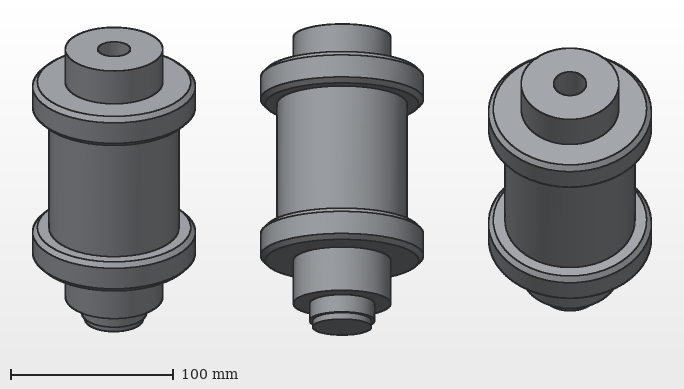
import cadquery as cq

flange_diameter = 100.0
body_diameter = 80.0
shaft_diameter = 60.0
spigot_diameter = 40.0
tip_diameter = 36.0
bore_diameter = 20.0

total_length = 185
tip_length = 4.0
spigot_length = 11.0
lower_shaft_length = 27.5
flange_thickness = 20.0
body_length = 80.0
flange_chamfer = 3.0

spigot_base = tip_length
lower_shaft_base = spigot_base + spigot_length
lower_flange_base = lower_shaft_base + lower_shaft_length
body_base = lower_flange_base + flange_thickness
upper_flange_base = body_base + body_length
upper_shaft_base = upper_flange_base + flange_thickness
upper_shaft_length = total_length - upper_shaft_base

bore_depth = total_length - upper_flange_base


def cylinder(diameter, base, length):
    """Cylinder on the Z axis, rising from the given level."""
    return cq.Workplane("XY").workplane(offset=base).circle(diameter / 2).extrude(length)


def flange(base):
    """Disc with both rims chamfered."""
    return cylinder(flange_diameter, base, flange_thickness).faces("|Z").edges().chamfer(flange_chamfer)


result = (
    cylinder(tip_diameter, 0, tip_length)
    .union(cylinder(spigot_diameter, spigot_base, spigot_length))
    .union(cylinder(shaft_diameter, lower_shaft_base, lower_shaft_length))
    .union(flange(lower_flange_base))
    .union(cylinder(body_diameter, body_base, body_length))
    .union(flange(upper_flange_base))
    .union(cylinder(shaft_diameter, upper_shaft_base, upper_shaft_length))
)

result = result.cut(cylinder(bore_diameter, total_length - bore_depth, bore_depth))